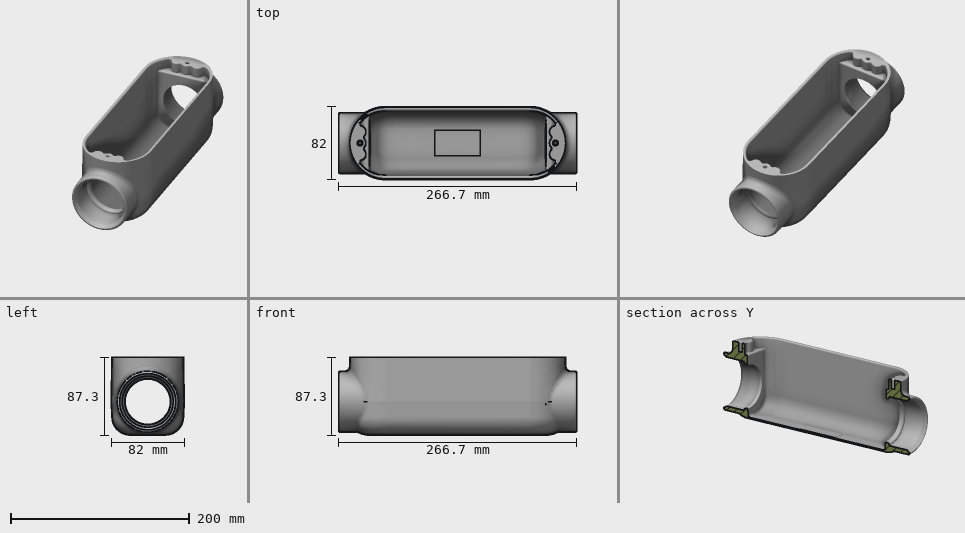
import cadquery as cq
import math


overall_length = 266.7
body_width = 82.0
rim_height = 50.0
floor_depth = 37.3

straight_length = 161.5
upper_draft = 1.0
lower_draft = 3.0
outer_bottom_round = 20.8

hub_diameter = 68.3
hub_mouth_round = 2.5
hub_body_round = 5.3
mouth_diameter = 63.0
bore_diameter = 57.0
mouth_depth = 4.3
bore_depth = 29.3
through_diameter = 51.0
stop_round = 2.7

cavity_top_width = 73.0
cavity_draft = 0.6
floor_thickness = 2.1
inner_bottom_round = 18.7
rim_round = 1.5
end_wall_x = 99.2
end_wall_draft = 1.0
end_floor_round = 2.7
shelf_height = 37.3
shelf_round = 2.0

screw_x = 109.4
lobe_radius = 6.7
lobe_spacing = 12.5
valley_radius = 2.5
screw_hole_diameter = 4.3
screw_hole_depth = 10.7
screw_countersink_diameter = 6.1
screw_countersink_angle = 90.0

pad_length = 51.0
pad_width = 28.3
pad_height = 0.5

half_length = overall_length / 2
cavity_floor_z = floor_thickness - floor_depth


def slot(width, z):
    """Racetrack outline with round ends on the common end centres."""
    return cq.Workplane("XY").workplane(offset=z).slot2D(straight_length + width, width)


def half_hubs(height):
    """Both hubs as one bar, cut at Z = 0; a negative height keeps the lower half."""
    keep = cq.Workplane("XY").rect(overall_length, hub_diameter).extrude(height)
    bar = cq.Workplane("YZ").circle(hub_diameter / 2).extrude(half_length, both=True)
    return bar.intersect(keep)


def blend_hubs(half_body):
    """Round the curved seams where the hubs leave the body."""
    seams = [edge for edge in half_body.edges().vals() if edge.geomType() == "BSPLINE"]
    return half_body.newObject(seams).fillet(hub_body_round)


def outer_body():
    """Each half has its own draft, so each is blended before the two are joined."""
    upper = slot(body_width, 0).extrude(rim_height, taper=upper_draft)
    lower = slot(body_width, 0).extrude(-floor_depth, taper=lower_draft)
    lower = lower.faces("<Z").edges().fillet(outer_bottom_round)
    upper = blend_hubs(upper.union(half_hubs(hub_diameter / 2)))
    lower = blend_hubs(lower.union(half_hubs(-hub_diameter / 2)))
    body = upper.union(lower)
    return body.faces("<X or >X").edges().fillet(hub_mouth_round)


def racetrack_cavity():
    """Inside of the trough before the ends are filled in; it narrows towards the floor."""
    height = rim_height - cavity_floor_z
    cavity = slot(cavity_top_width, rim_height).extrude(-height, taper=cavity_draft)
    return cavity.faces("<Z").edges().fillet(inner_bottom_round)


def end_block():
    """Solid of the +X end below the shelf, with a drafted wall."""
    lean = math.tan(math.radians(end_wall_draft))
    foot_x = end_wall_x - lean * (shelf_height - cavity_floor_z)
    return (
        cq.Workplane("XZ")
        .moveTo(half_length, -floor_depth)
        .lineTo(half_length, shelf_height)
        .lineTo(end_wall_x, shelf_height)
        .lineTo(foot_x, cavity_floor_z)
        .lineTo(foot_x, -floor_depth)
        .close()
        .extrude(body_width / 2, both=True)
    )


def point_between(start, end, distance):
    """Point at a distance from start on the line towards end."""
    span = math.dist(start, end)
    return tuple(a + (b - a) * distance / span for a, b in zip(start, end))


def across_x(point):
    """Mirror image of a point on the other side of the X axis."""
    return (point[0], -point[1])


def lug():
    """Scalloped lug of the +X end: three round lobes joined by round valleys."""
    centre = (screw_x, 0)
    lobe = (screw_x, lobe_spacing)
    reach = lobe_radius + valley_radius
    inner_valley = (screw_x - math.sqrt(reach ** 2 - (lobe_spacing / 2) ** 2), lobe_spacing / 2)
    outer_valley = (screw_x - valley_radius, lobe_spacing + math.sqrt(reach ** 2 - valley_radius ** 2))

    boss_end = point_between(centre, inner_valley, lobe_radius)
    lobe_start = point_between(lobe, inner_valley, lobe_radius)
    lobe_end = point_between(lobe, outer_valley, lobe_radius)
    outer_end = (screw_x, outer_valley[1])
    valley_bottom = (inner_valley[0] + valley_radius, inner_valley[1])
    lobe_tip = (screw_x - lobe_radius, lobe_spacing)
    outer_chord_middle = tuple((a + b) / 2 for a, b in zip(outer_end, lobe_end))
    outer_mid = point_between(outer_valley, outer_chord_middle, valley_radius)

    profile = (
        cq.Workplane("XY").workplane(offset=shelf_height)
        .moveTo(half_length, body_width)
        .lineTo(screw_x, body_width)
        .lineTo(*outer_end)
        .threePointArc(outer_mid, lobe_end)
        .threePointArc(lobe_tip, lobe_start)
        .threePointArc(valley_bottom, boss_end)
        .threePointArc((screw_x - lobe_radius, 0), across_x(boss_end))
        .threePointArc(across_x(valley_bottom), across_x(lobe_start))
        .threePointArc(across_x(lobe_tip), across_x(lobe_end))
        .threePointArc(across_x(outer_mid), across_x(outer_end))
        .lineTo(screw_x, -body_width)
        .lineTo(half_length, -body_width)
        .close()
    )
    return profile.extrude(rim_height - shelf_height)


def cavity():
    """Open space of the trough: a racetrack less the end blocks and the lugs."""
    right_end = end_block().union(lug())
    space = racetrack_cavity().cut(right_end).cut(right_end.mirror("YZ"))
    wall_foot_z = cavity_floor_z + inner_bottom_round
    wall_feet = [
        edge for edge in space.edges().vals()
        if edge.geomType() == "BSPLINE" and edge.Center().z < wall_foot_z
    ]
    space = space.newObject(wall_feet).fillet(end_floor_round)
    shelf_edges = [
        edge for edge in space.edges("|Y").vals()
        if math.isclose(edge.Center().z, shelf_height) and abs(edge.Center().x) < screw_x - lobe_radius
    ]
    return space.newObject(shelf_edges).fillet(shelf_round)


def hub_bore():
    """Bore of the +X hub: flared mouth, straight bore and a rounded stop at the through hole."""
    stop_x = half_length - bore_depth
    through_radius = through_diameter / 2
    arc = stop_round * math.sqrt(0.5)
    return (
        cq.Workplane("XY")
        .moveTo(0, 0)
        .lineTo(half_length, 0)
        .lineTo(half_length, mouth_diameter / 2)
        .lineTo(half_length - mouth_depth, bore_diameter / 2)
        .lineTo(stop_x, bore_diameter / 2)
        .lineTo(stop_x, through_radius + stop_round)
        .threePointArc((stop_x - stop_round + arc, through_radius + stop_round - arc),
                       (stop_x - stop_round, through_radius))
        .lineTo(0, through_radius)
        .close()
        .revolve(360, (0, 0, 0), (1, 0, 0))
    )


def round_inner_rim(trough):
    """Round the top edge of the opening, scallops included."""
    opening = min(trough.faces(">Z").wires().vals(), key=lambda wire: wire.BoundingBox().xlen)
    return trough.newObject(opening.Edges()).fillet(rim_round)


def floor_pad():
    """Low rectangular pad, sunk halfway into the floor so that it joins cleanly."""
    pad_bottom = cavity_floor_z - floor_thickness / 2
    return (
        cq.Workplane("XY").workplane(offset=pad_bottom)
        .rect(pad_length, pad_width)
        .extrude(floor_thickness / 2 + pad_height)
    )


bore = hub_bore()
screw_places = [(side * screw_x, 0) for side in (-1, 1)]

result = round_inner_rim(outer_body().cut(cavity()))
result = result.cut(bore).cut(bore.mirror("YZ")).union(floor_pad())
result = (
    result.copyWorkplane(cq.Workplane("XY").workplane(offset=rim_height))
    .pushPoints(screw_places)
    .cskHole(screw_hole_diameter, screw_countersink_diameter, screw_countersink_angle, depth=screw_hole_depth)
)